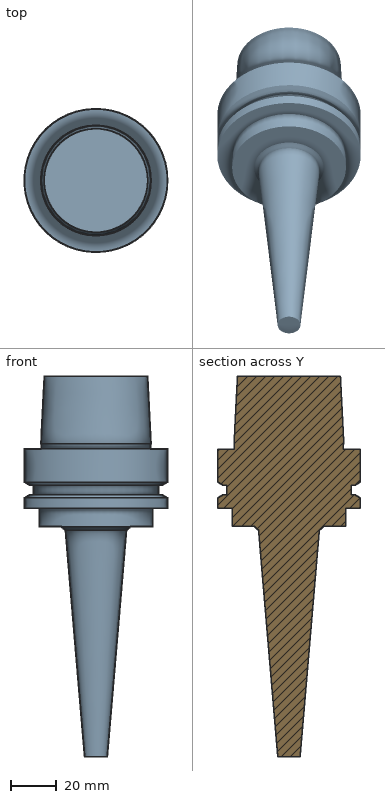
import cadquery as cq

total_height = 167.0
flange_top = 135.1
flange_bottom = 109.0
boss_bottom = 101.0
neck_height = 2.2

shank_top_diameter = 45.5
shank_base_diameter = 48.5
neck_diameter = 48.1
flange_diameter = 63.0
groove_diameter = 55.0
boss_diameter = 50.0
stem_top_diameter = 26.9
stem_tip_diameter = 10.0

groove_top = 119.0
groove_bottom = 115.0
bevel_height = 1.5
bevel_depth = 2.5

flare_height = 1.7
flare_depth = 1.8


def frustum(bottom, top, bottom_diameter, top_diameter):
    """Round section about Z, straight or tapered, between two heights."""
    return (
        cq.Workplane("XZ")
        .moveTo(0, bottom)
        .lineTo(bottom_diameter / 2, bottom)
        .lineTo(top_diameter / 2, top)
        .lineTo(0, top)
        .close()
        .revolve(360, (0, 0), (0, 1))
    )


def cylinder(bottom, top, diameter):
    return frustum(bottom, top, diameter, diameter)


def tapered_shank():
    shank_base = flange_top + neck_height
    neck = cylinder(flange_top, shank_base, neck_diameter)
    taper = frustum(shank_base, total_height, shank_base_diameter, shank_top_diameter)
    return neck.union(taper)


def grooved_flange():
    bevel_diameter = flange_diameter - 2 * bevel_depth
    upper_edge = groove_top + bevel_height
    lower_edge = groove_bottom - bevel_height
    upper_rim = cylinder(upper_edge, flange_top, flange_diameter)
    upper_bevel = frustum(groove_top, upper_edge, bevel_diameter, flange_diameter)
    groove_floor = cylinder(groove_bottom, groove_top, groove_diameter)
    lower_bevel = frustum(lower_edge, groove_bottom, flange_diameter, bevel_diameter)
    lower_rim = cylinder(flange_bottom, lower_edge, flange_diameter)
    return upper_rim.union(upper_bevel).union(groove_floor).union(lower_bevel).union(lower_rim)


def boss_and_stem():
    stem_top = boss_bottom - flare_height
    flare_diameter = stem_top_diameter + 2 * flare_depth
    boss = cylinder(boss_bottom, flange_bottom, boss_diameter)
    flare = frustum(stem_top, boss_bottom, stem_top_diameter, flare_diameter)
    stem = frustum(0, stem_top, stem_tip_diameter, stem_top_diameter)
    return boss.union(flare).union(stem)


result = tapered_shank().union(grooved_flange()).union(boss_and_stem())